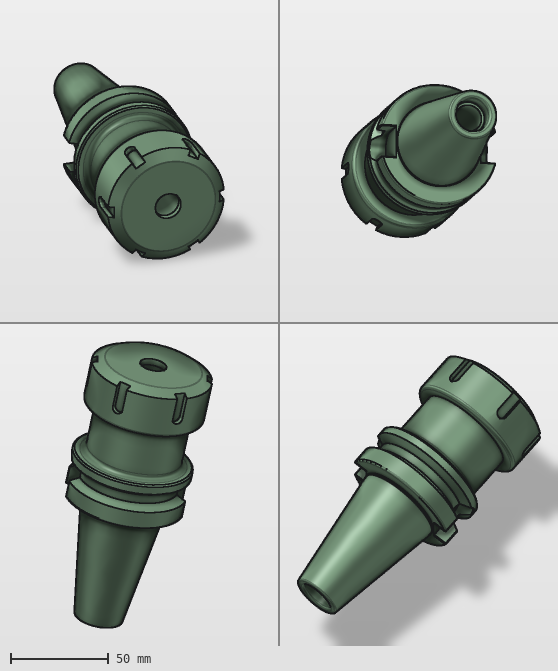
import math

import cadquery as cq


total_length = 145.8
outer_dia = 63.0
body_dia = 50.0
through_dia = 13.9
tolerance = 0.01

taper_length = 65.9
taper_large_dia = 44.5
taper_rate = 7 / 24
taper_small_dia = taper_large_dia - taper_rate * taper_length
taper_tip_round = 0.9

neck_dia = 44.2
neck_start = 66.3
neck_end = 66.9

flange_start = 67.4
flange_end = 92.3
groove_dia = 53.2
groove_start = 79.6
groove_end = 84.4
groove_wall_slope = math.tan(math.radians(60))
groove_wall_length = (outer_dia - groove_dia) / 2 / groove_wall_slope
front_edge_round = 0.9
rear_edge_chamfer = 0.9
body_fillet = 3.0

key_width = 16.2
key_floor = 22.5
key_end = 88.5
key_edge_chamfer = 0.5

bore_dia = 17.4
bore_length = 7.0
bore_bottom_dia = 17.0
bore_taper_end = 7.6
bore_depth = 8.7
bore_entry_round = 1.3

nut_start = 120.1
nut_edge_round = 1.6
bevel_start = 142.3
bevel_slope = math.tan(math.radians(60))
nut_face_round = 0.7
body_end = bevel_start

spanner_count = 6
spanner_width = 5.8
spanner_floor = 28.6
spanner_start = 127.9
first_spanner_angle = 30


def cylinder(diameter, start, end):
    return cq.Workplane("YZ", origin=(start, 0, 0)).circle(diameter / 2).extrude(end - start)


def revolve_about_x(profile):
    return profile.close().revolve(360, (0, 0, 0), (1, 0, 0))


def make_bore():
    return revolve_about_x(
        cq.Workplane("XY")
        .lineTo(0, bore_dia / 2)
        .lineTo(bore_length, bore_dia / 2)
        .lineTo(bore_taper_end, bore_bottom_dia / 2)
        .lineTo(bore_depth, bore_bottom_dia / 2)
        .lineTo(bore_depth, 0)
    )


def make_shank():
    """Taper with a relief groove at its large end and a rounded bore at its tip."""
    shank = revolve_about_x(
        cq.Workplane("XY")
        .lineTo(0, taper_small_dia / 2)
        .lineTo(taper_length, taper_large_dia / 2)
        .lineTo(neck_start, taper_large_dia / 2)
        .lineTo(neck_start, neck_dia / 2)
        .lineTo(neck_end, neck_dia / 2)
        .lineTo(neck_end, taper_large_dia / 2)
        .lineTo(flange_start, taper_large_dia / 2)
        .lineTo(flange_start, 0)
    )
    shank = shank.faces("<X").edges().fillet(taper_tip_round)
    shank = shank.cut(make_bore())
    return shank.faces("<X").edges(cq.selectors.RadiusNthSelector(0)).fillet(bore_entry_round)


def make_key_slot(side):
    """Round-ended drive slot on the +Y (side = 1) or -Y (side = -1) of the flange."""
    arc_centre = key_end - key_width / 2
    floor_plane = cq.Plane(origin=(0, side * key_floor, 0), xDir=(1, 0, 0), normal=(0, side, 0))
    half_width = key_width / 2
    return (
        cq.Workplane(floor_plane)
        .moveTo(flange_start, -half_width)
        .lineTo(arc_centre, -half_width)
        .threePointArc((key_end, 0), (arc_centre, half_width))
        .lineTo(flange_start, half_width)
        .close()
        .extrude(outer_dia / 2)
    )


def make_gripper_groove():
    return revolve_about_x(
        cq.Workplane("XY")
        .moveTo(groove_start, groove_dia / 2)
        .lineTo(groove_start - groove_wall_length, outer_dia / 2)
        .lineTo(groove_end + groove_wall_length, outer_dia / 2)
        .lineTo(groove_end, groove_dia / 2)
    )


def is_key_rim_edge(edge):
    """True for the edges where the key slots break through the outside of the flange."""
    on_rim = all(
        math.hypot(edge.positionAt(place).y, edge.positionAt(place).z) > outer_dia / 2 - tolerance
        for place in (0, 0.5, 1)
    )
    return on_rim and edge.Center().x < key_end and edge.BoundingBox().xlen > tolerance


def make_flange():
    flange = cylinder(outer_dia, flange_start, flange_end)
    flange = flange.faces(">X").edges().chamfer(rear_edge_chamfer)
    for side in (1, -1):
        flange = flange.cut(make_key_slot(side))
    front_slot_edges = flange.faces("<X").edges("|Y").vals()
    rim_slot_edges = [edge for edge in flange.edges().vals() if is_key_rim_edge(edge)]
    flange = flange.newObject(front_slot_edges + rim_slot_edges).chamfer(key_edge_chamfer)
    flange = flange.faces("<X").edges("%CIRCLE").fillet(front_edge_round)
    return flange.cut(make_gripper_groove())


def make_body():
    """Cylinder behind the flange, flaring into it through a concave fillet."""
    body_radius = body_dia / 2
    return revolve_about_x(
        cq.Workplane("XY")
        .moveTo(flange_end, 0)
        .lineTo(flange_end, body_radius + body_fillet)
        .radiusArc((flange_end + body_fillet, body_radius), -body_fillet)
        .lineTo(body_end, body_radius)
        .lineTo(body_end, 0)
    )


def make_holder():
    holder = make_shank().union(make_flange()).union(make_body())
    return holder.cut(cylinder(through_dia, 0, body_end))


def make_spanner_slot(angle):
    half_width = spanner_width / 2
    slot = (
        cq.Workplane("XY", origin=(0, 0, spanner_floor))
        .moveTo(total_length, -half_width)
        .lineTo(spanner_start + half_width, -half_width)
        .threePointArc((spanner_start, 0), (spanner_start + half_width, half_width))
        .lineTo(total_length, half_width)
        .close()
        .extrude(outer_dia / 2)
    )
    return slot.rotate((0, 0, 0), (1, 0, 0), angle)


def make_nut():
    face_radius = outer_dia / 2 - (total_length - bevel_start) * bevel_slope
    nut = revolve_about_x(
        cq.Workplane("XY")
        .moveTo(nut_start, 0)
        .lineTo(nut_start, outer_dia / 2)
        .lineTo(bevel_start, outer_dia / 2)
        .lineTo(total_length, face_radius)
        .lineTo(total_length, 0)
    )
    nut = nut.faces("<X").edges().fillet(nut_edge_round)
    nut = nut.faces(">X").edges().fillet(nut_face_round)
    for index in range(spanner_count):
        nut = nut.cut(make_spanner_slot(first_spanner_angle + index * 360 / spanner_count))
    nut = nut.cut(cylinder(body_dia, nut_start, body_end))
    return nut.cut(cylinder(through_dia, body_end, total_length))


holder = make_holder()
nut = make_nut()
result = cq.Compound.makeCompound([holder.val(), nut.val()])